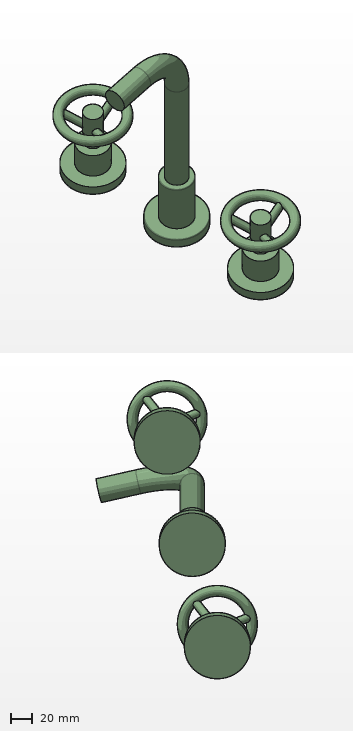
import cadquery as cq
import math

handle_spacing = 100.0
overall_width = 273.0
overall_height = 252.3
flange_diameter = 60.3
flange_height = 10.0
collar_diameter = 33.5

handle_collar_top = 38.0
stem_diameter = 16.7

wheel_diameter = overall_width - 2 * handle_spacing
rim_diameter = 10.0
wheel_top = 79.2
hub_bottom = 53.5
hub_diameter = 19.0
spoke_count = 3
spoke_diameter = 8.0
spoke_rise_angle = 30.0
first_spoke_angle = 90.0
spoke_root_radius = 5.5

spout_collar_top = 63.3
tube_diameter = 22.5
bend_radius = 50.2
spout_reach = 87.5
edge_rounding = 0.5

rim_radius = (wheel_diameter - rim_diameter) / 2
rim_height = wheel_top - rim_diameter / 2


def post(diameter, bottom, top):
    """Upright cylinder on the Z axis."""
    return cq.Workplane("XY").workplane(offset=bottom).circle(diameter / 2).extrude(top - bottom)


def make_handle_base():
    """Flange, collar and the stem that carries the handwheel."""
    flange = post(flange_diameter, 0, flange_height)
    collar = post(collar_diameter, flange_height, handle_collar_top)
    stem = post(stem_diameter, handle_collar_top, hub_bottom)
    return flange.union(collar).union(stem)


def make_spoke(angle):
    """Round spoke climbing from the hub to the centre of the rim section."""
    run = rim_radius - spoke_root_radius
    rise = run * math.tan(math.radians(spoke_rise_angle))
    root = cq.Vector(spoke_root_radius, 0, rim_height - rise)
    spoke = cq.Solid.makeCylinder(spoke_diameter / 2, math.hypot(run, rise), root, cq.Vector(run, 0, rise))
    return cq.Workplane(spoke).rotate((0, 0, 0), (0, 0, 1), angle)


def make_handwheel():
    """Hub resting on the stem, with sloping spokes and a round rim."""
    wheel = post(hub_diameter, hub_bottom, wheel_top)
    for index in range(spoke_count):
        wheel = wheel.union(make_spoke(first_spoke_angle + index * 360 / spoke_count))
    rim = (
        cq.Workplane("XZ")
        .center(rim_radius, rim_height)
        .circle(rim_diameter / 2)
        .revolve(360, (-rim_radius, 0, 0), (-rim_radius, 1, 0))
    )
    return wheel.union(rim, clean=False)


def make_spout():
    """Flange and collar with a tube that rises and bends over toward -Y."""
    flange = post(flange_diameter, 0, flange_height).faces(">Z").edges().fillet(edge_rounding)
    collar = post(collar_diameter, flange_height, spout_collar_top).faces(">Z").edges().fillet(edge_rounding)

    outlet_height = overall_height - tube_diameter / 2
    bend_start = outlet_height - bend_radius
    bend_offset = bend_radius * math.sqrt(0.5)
    centreline = (
        cq.Workplane("YZ")
        .moveTo(0, spout_collar_top)
        .lineTo(0, bend_start)
        .threePointArc((bend_offset - bend_radius, bend_start + bend_offset), (-bend_radius, outlet_height))
        .lineTo(-spout_reach, outlet_height)
    )
    tube = cq.Workplane("XY").workplane(offset=spout_collar_top).circle(tube_diameter / 2).sweep(centreline)
    return flange.union(collar).union(tube)


bodies = [make_spout().val()]
for handle_x in (-handle_spacing, handle_spacing):
    bodies.append(make_handle_base().translate((handle_x, 0, 0)).val())
    bodies.append(make_handwheel().translate((handle_x, 0, 0)).val())

result = cq.Compound.makeCompound(bodies)